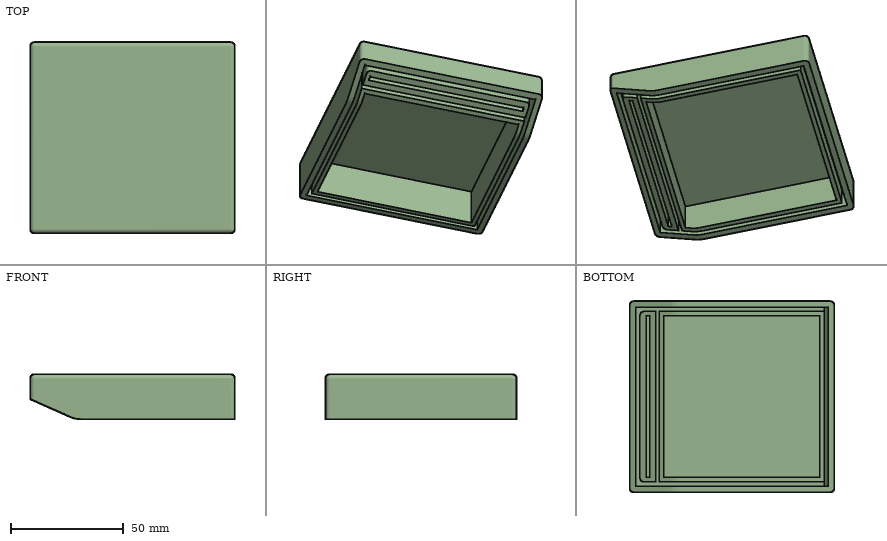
import cadquery as cq
import math

length = 91.0
width = 85.0
height = 20.0
edge_radius = 2.0

nose_height = 8.9
slope_angle = math.radians(24)
slope_length = nose_height / math.tan(slope_angle)
slope_blend_radius = 10.9

wall = 2.7
ceiling_thickness = 2.2

bridge_start_height = 6.2
bridge_angle = math.radians(61)

frame_gap = 1.9
frame_wall = 2.0
frame_inset = wall + frame_gap
frame_radius = 1.8
slot_front = frame_inset + 2.7
slot_back = slot_front + 1.6
frame_split_front = slot_back + 2.55
frame_split_back = frame_split_front + 1.6
main_pocket_front = frame_split_back + frame_wall

ceiling = height - ceiling_thickness


def block(x_min, x_max, y_margin, z_max):
    """Box standing on the base plane, centred across the width."""
    return (
        cq.Workplane("XY")
        .box(x_max - x_min, width - 2 * y_margin, z_max, centered=(False, True, False))
        .translate((x_min, 0, 0))
    )


def sloped_outline():
    """Side profile with the front underside cut away and blended into the base."""
    profile = (
        cq.Workplane("XZ")
        .moveTo(0, nose_height)
        .lineTo(slope_length, 0)
        .lineTo(length, 0)
        .lineTo(length, height)
        .lineTo(0, height)
        .close()
        .extrude(width / 2, both=True)
    )
    base_corner = cq.selectors.NearestToPointSelector((slope_length, 0, 0))
    return profile.edges(base_corner).fillet(slope_blend_radius)


def shell():
    """Rounded housing, hollow and open underneath."""
    body = block(0, length, 0, height).edges("|Z or >Z").fillet(edge_radius)
    cavity = block(wall, length - wall, wall, ceiling)
    return body.cut(cavity)


def inner_frames():
    """Narrow front frame and large rear frame, separated by a cross slit."""
    pocket_margin = frame_inset + frame_wall
    frames = block(frame_inset, length - frame_inset, frame_inset, height - edge_radius)
    frames = frames.edges("|Z and <X").fillet(frame_radius)
    frames = frames.cut(block(slot_front, slot_back, pocket_margin, ceiling))
    frames = frames.cut(block(frame_split_front, frame_split_back, frame_inset, ceiling))
    return frames.cut(block(main_pocket_front, length - pocket_margin, pocket_margin, ceiling))


def rear_bridge():
    """Filled top of the rear gap, with a steep underside rising away from the rear wall."""
    wall_face = length - wall
    frame_face = length - frame_inset
    bridge_end_height = bridge_start_height + frame_gap * math.tan(bridge_angle)
    return (
        cq.Workplane("XZ")
        .moveTo(wall_face, bridge_start_height)
        .lineTo(frame_face, bridge_end_height)
        .lineTo(frame_face, ceiling)
        .lineTo(wall_face, ceiling)
        .close()
        .extrude(width / 2 - wall, both=True)
    )


result = shell().union(inner_frames()).union(rear_bridge()).intersect(sloped_outline())